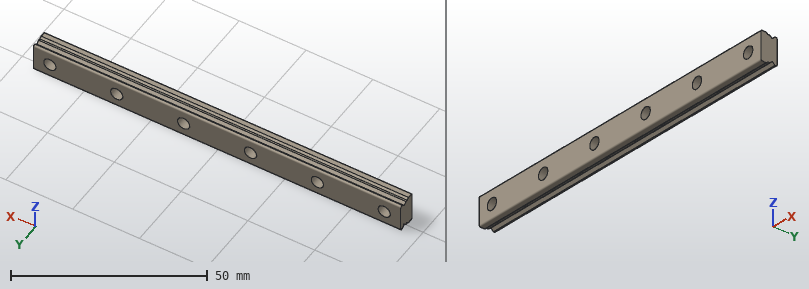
import cadquery as cq

length = 110.0
depth = 5.5
height = 9.0

edge_round = 0.4
land_end = 1.8
shelf_start = 2.4
shelf_end = 3.0
shelf_drop = 0.4
valley_bottom = 3.8
valley_drop = 1.1
lip_start = 4.7
lip_drop = 0.3

hole_count = 6
hole_pitch = 20.0
hole_diameter = 3.6


def rail_profile():
    """Cross-section in the YZ plane, symmetric about Z = 0, front face at -Y."""
    front = -depth / 2
    half_height = height / 2
    flank = [
        (0, 0),
        (land_end, 0),
        (shelf_start, shelf_drop),
        (shelf_end, shelf_drop),
        (valley_bottom, valley_drop),
        (lip_start, lip_drop),
        (depth, lip_drop),
    ]
    upper = [(front + offset, half_height - drop) for offset, drop in flank]
    lower = [(y, -z) for y, z in reversed(upper)]
    return cq.Workplane("YZ").polyline(upper + lower).close()


rail = rail_profile().extrude(length / 2, both=True)
rail = rail.faces("<Y or >Y").edges("|X").fillet(edge_round)

holes = (
    cq.Workplane("XZ")
    .rarray(hole_pitch, 1.1, hole_count, 1)
    .circle(hole_diameter / 2)
    .extrude(depth, both=True)
)

result = rail.cut(holes)